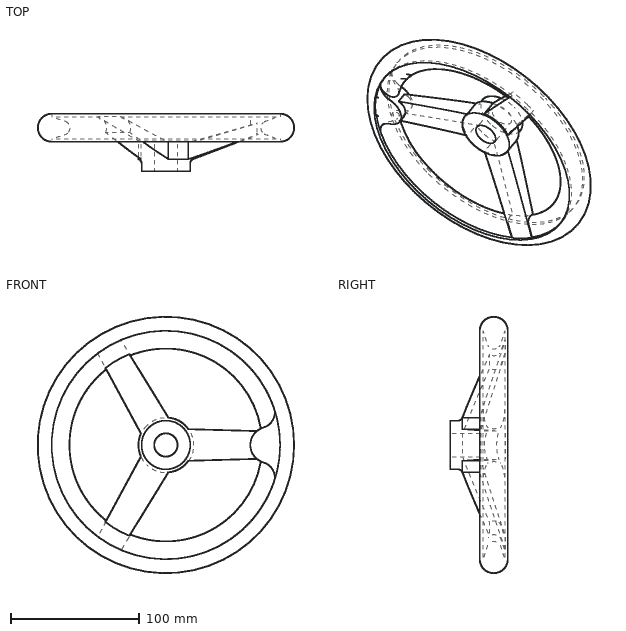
import cadquery as cq
import math


rim_outer_radius = 100.0
grip_radius = 11.0
grip_seat_radius = rim_outer_radius - grip_radius
grip_step = 2.6
rim_inner_radius = 75.0
rim_nose_radius = 5.5
flank_half_width = grip_radius - grip_step

bore_diameter = 18.0
nose_diameter = 38.0
hub_radius = 21.5
hub_front_y = -34.0
flare_front_y = -28.0
flare_back_y = -24.4
hub_back_y = -10.0

spoke_count = 3
spoke_root_radius = hub_radius
spoke_end_radius = 90.0
spoke_axis_half_width = 12.9
spoke_end_half_width = 10.4
spoke_front_slope = 0.382
spoke_back_slope = 0.295
spoke_root_back_y = -11.0

boss_center_x = 80.0
boss_radius = 14.2
boss_blend_radius = 12.0


def revolve_about_wheel_axis(profile):
    """Revolve a closed (radius, y) profile about the Y axis."""
    return profile.close().revolve(360, (0, 0, 0), (0, 1, 0))


def make_rim():
    """Half-round grip outside, tapering through conical flanks to a rounded inner edge."""
    nose_center_radius = rim_inner_radius + rim_nose_radius
    flank_run = grip_seat_radius - nose_center_radius
    flank_direction = math.atan2(flank_half_width, flank_run)
    tangent_offset = math.acos(rim_nose_radius / math.hypot(flank_run, flank_half_width))
    tangent_angle = flank_direction + tangent_offset
    nose_tangent_radius = nose_center_radius + rim_nose_radius * math.cos(tangent_angle)
    nose_tangent_y = rim_nose_radius * math.sin(tangent_angle)
    profile = (
        cq.Workplane("XY")
        .moveTo(grip_seat_radius, -grip_radius)
        .threePointArc((rim_outer_radius, 0), (grip_seat_radius, grip_radius))
        .lineTo(grip_seat_radius, flank_half_width)
        .lineTo(nose_tangent_radius, nose_tangent_y)
        .threePointArc((rim_inner_radius, 0), (nose_tangent_radius, -nose_tangent_y))
        .lineTo(grip_seat_radius, -flank_half_width)
    )
    return revolve_about_wheel_axis(profile)


def make_hub():
    """Hub cylinder with a hollow flare down to the narrower nose."""
    nose_radius = nose_diameter / 2
    profile = (
        cq.Workplane("XY")
        .moveTo(0, hub_front_y)
        .lineTo(nose_radius, hub_front_y)
        .lineTo(nose_radius, flare_front_y)
        .tangentArcPoint((hub_radius, flare_back_y), relative=False)
        .lineTo(hub_radius, hub_back_y)
        .lineTo(0, hub_back_y)
    )
    return revolve_about_wheel_axis(profile)


def make_spokes():
    """Tapered spokes trimmed from a dished web with conical faces."""
    run = spoke_end_radius - spoke_root_radius
    web_profile = (
        cq.Workplane("XY")
        .moveTo(0, flare_back_y)
        .lineTo(spoke_root_radius, flare_back_y)
        .lineTo(spoke_end_radius, flare_back_y + spoke_front_slope * run)
        .lineTo(spoke_end_radius, spoke_root_back_y + spoke_back_slope * run)
        .lineTo(spoke_root_radius, spoke_root_back_y)
        .lineTo(0, spoke_root_back_y)
    )
    web = revolve_about_wheel_axis(web_profile)
    spoke_outline = (
        cq.Workplane("XZ")
        .moveTo(0, -spoke_axis_half_width)
        .lineTo(spoke_end_radius, -spoke_end_half_width)
        .lineTo(spoke_end_radius, spoke_end_half_width)
        .lineTo(0, spoke_axis_half_width)
        .close()
        .extrude(rim_outer_radius, both=True)
    )
    spoke = web.intersect(spoke_outline)
    spokes = spoke
    for index in range(1, spoke_count):
        angle = index * 360 / spoke_count
        spokes = spokes.union(spoke.rotate((0, 0, 0), (0, 1, 0), angle))
    return spokes


def make_handle_boss():
    """Round boss on the first spoke, blended into the rim by hollow arcs."""
    to_boss = boss_radius + boss_blend_radius
    to_axis = grip_seat_radius - boss_blend_radius
    blend_x = (to_axis**2 + boss_center_x**2 - to_boss**2) / (2 * boss_center_x)
    blend_z = math.sqrt(to_axis**2 - blend_x**2)

    seat_ratio = grip_seat_radius / to_axis
    seat_x = blend_x * seat_ratio
    seat_z = blend_z * seat_ratio
    boss_ratio = boss_radius / to_boss
    tangent_x = boss_center_x + (blend_x - boss_center_x) * boss_ratio
    tangent_z = blend_z * boss_ratio

    start_angle = math.atan2(seat_z - blend_z, seat_x - blend_x)
    end_angle = math.atan2(tangent_z - blend_z, tangent_x - blend_x)
    mid_angle = (start_angle + end_angle) / 2
    mid_x = blend_x + boss_blend_radius * math.cos(mid_angle)
    mid_z = blend_z + boss_blend_radius * math.sin(mid_angle)

    return (
        cq.Workplane("XZ")
        .moveTo(seat_x, seat_z)
        .threePointArc((mid_x, mid_z), (tangent_x, tangent_z))
        .threePointArc((boss_center_x - boss_radius, 0), (tangent_x, -tangent_z))
        .threePointArc((mid_x, -mid_z), (seat_x, -seat_z))
        .threePointArc((grip_seat_radius, 0), (seat_x, seat_z))
        .close()
        .extrude(flank_half_width, both=True)
    )


def make_bore():
    """Cutter for the plain hole through the hub."""
    length = hub_back_y - hub_front_y
    return (
        cq.Workplane("XZ", origin=(0, hub_back_y, 0))
        .circle(bore_diameter / 2)
        .extrude(length)
    )


wheel = make_rim().union(make_spokes()).union(make_hub()).union(make_handle_boss())
result = wheel.cut(make_bore())